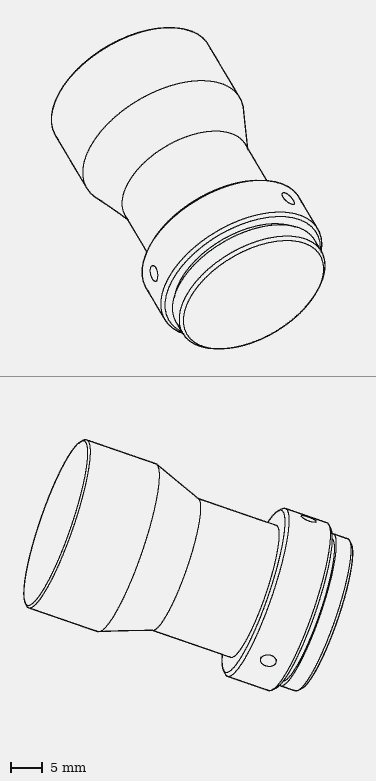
import cadquery as cq
import math

total_length = 45.45
head_end = 12.0
taper_end = 20.2
collar_start = 33.45
collar_length = 8.0
rim_length = 3.0
collar_end = collar_start + collar_length
rim_start = total_length - rim_length

head_radius = 14.0
neck_radius = 11.0
collar_radius = head_radius
groove_radius = 11.9
rim_radius = 12.7

head_chamfer = 0.3
collar_chamfer = 0.5
rim_chamfer = 0.5

hole_count = 3
hole_diameter = 2.5
hole_depth = 3.0
drill_point_angle = 118.0
first_hole_angle = 45.5


def cylinder_along_x(start, end, radius):
    return cq.Workplane("YZ", origin=(start, 0, 0)).circle(radius).extrude(end - start)


def make_head():
    head = cylinder_along_x(0, head_end, head_radius)
    return head.faces("<X").chamfer(head_chamfer)


def make_taper():
    profile = [(head_end, 0), (head_end, head_radius), (taper_end, neck_radius), (taper_end, 0)]
    return cq.Workplane("XY").polyline(profile).close().revolve(360, (0, 0, 0), (1, 0, 0))


def make_collar():
    collar = cylinder_along_x(collar_start, collar_end, collar_radius)
    return collar.faces("<X or >X").chamfer(collar_chamfer)


def make_rim():
    rim = cylinder_along_x(rim_start, total_length, rim_radius)
    return rim.faces(">X").chamfer(rim_chamfer)


def make_hole_cutter():
    """Drill with a conical point, entering the collar along +Y."""
    hole_radius = hole_diameter / 2
    point_length = hole_radius / math.tan(math.radians(drill_point_angle / 2))
    hole_x = (collar_start + collar_end) / 2
    floor = collar_radius - hole_depth
    outside = collar_radius + hole_radius
    profile = [
        (hole_x, floor - point_length),
        (hole_x + hole_radius, floor),
        (hole_x + hole_radius, outside),
        (hole_x, outside),
    ]
    drill = cq.Workplane("XY").polyline(profile).close()
    return drill.revolve(360, (hole_x, 0, 0), (hole_x, 1, 0))


result = (
    make_head()
    .union(make_taper())
    .union(cylinder_along_x(taper_end, collar_start, neck_radius))
    .union(make_collar())
    .union(cylinder_along_x(collar_end, rim_start, groove_radius))
    .union(make_rim())
)

hole_cutter = make_hole_cutter()
for index in range(hole_count):
    angle = first_hole_angle + index * 360 / hole_count
    result = result.cut(hole_cutter.rotate((0, 0, 0), (1, 0, 0), angle))